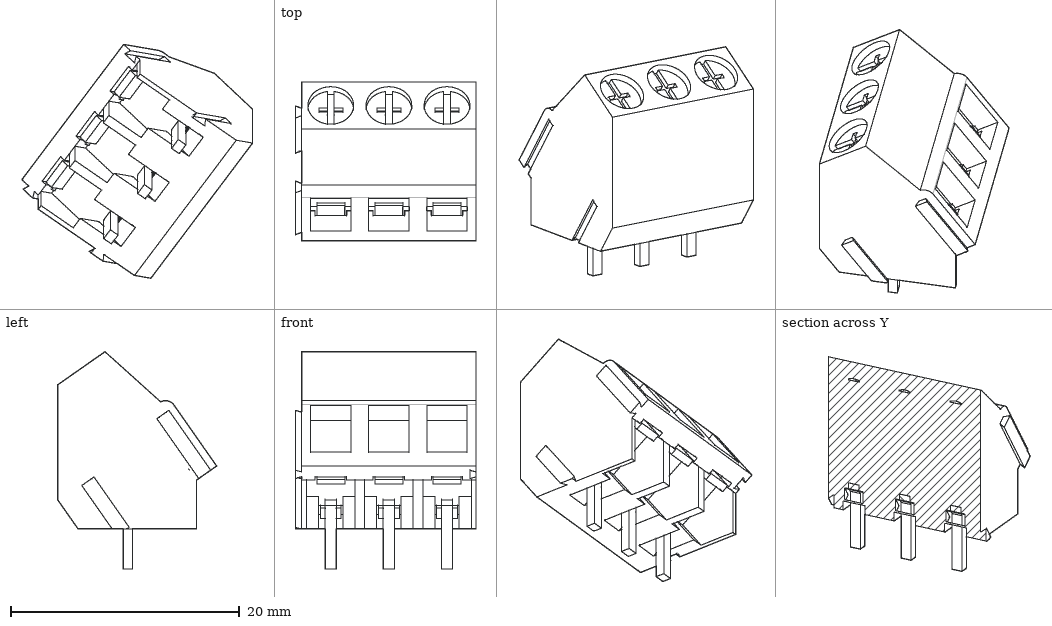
import cadquery as cq
import math


pole_count = 3
pitch = 5.08
housing_width = pole_count * pitch
pole_centres = [(i + 0.5) * pitch for i in range(pole_count)]

tilt_deg = 35.0
tilt_sin = math.sin(math.radians(tilt_deg))
tilt_cos = math.cos(math.radians(tilt_deg))


def tilted(u, w):
    """Point (y, z) at tilted coordinates (u, w)."""
    return (u * tilt_cos + w * tilt_sin, w * tilt_cos - u * tilt_sin)


def along_u(y, z):
    return y * tilt_cos - z * tilt_sin


def along_w(y, z):
    return y * tilt_sin + z * tilt_cos


def prism(x_start, x_end, points):
    """Straight body along X with a (y, z) polygon as its section."""
    return cq.Workplane("YZ", origin=(x_start, 0, 0)).polyline(points).close().extrude(x_end - x_start)


def tilted_box(x_mid, width, u_front, u_rear, w_low, w_high):
    corners = [(u_front, w_low), (u_rear, w_low), (u_rear, w_high), (u_front, w_high)]
    return prism(x_mid - width / 2, x_mid + width / 2, [tilted(u, w) for u, w in corners])


depth = 13.9
height = 15.5
foot_front_y = -12.13
apex_y = -4.13
nose_tip = (-depth, 5.5)
rear_chamfer_depth = 1.77
rear_chamfer_height = rear_chamfer_depth / math.tan(math.radians(tilt_deg))
bead_radius = 0.8
bead_end_z = 10.88
bead_start = (-9.0, 11.12)

wire_face_u = along_u(*nose_tip)
nose_under_w = along_w(*nose_tip)
screw_face_w = along_w(apex_y, height)
rear_top_z = screw_face_w / tilt_cos
foot_top_z = nose_tip[1] - (foot_front_y + depth) * math.tan(math.radians(tilt_deg))
bead_end = ((wire_face_u + bead_end_z * tilt_sin) / tilt_cos, bead_end_z)
bead_centre = (bead_end[0] + bead_radius * tilt_cos, bead_end[1] - bead_radius * tilt_sin)
bead_top = (bead_centre[0], bead_centre[1] + bead_radius)

wire_hole_width = 3.53
wire_hole_rear_u = -12.28
wire_hole_floor_w = -1.96
wire_hole_ceiling_w = 2.97

cavity_width = 4.24
cavity_front_u = along_u(foot_front_y, foot_top_z)
cavity_rear_u = -7.1
cavity_ceiling_w = -1.48
sill_notch_width = 2.75
sill_notch_depth = 0.5
channel_width = 2.13
channel_rear_u = -5.7
channel_step_w = -2.45
channel_slot_width = 1.82
channel_slot_depth = 0.62
channel_slot_ceiling_w = -1.32

rail_thickness = 0.55
rail_undercut = 0.26
rails = [(-13.9, -12.63, 2.93), (-5.2, -3.9, 1.91)]

screw_diameter = 4.0
screw_recess = 0.7
screw_length = 2.5
screw_u = (along_u(0, rear_top_z) + along_u(apex_y, height)) / 2
slot_width = 0.6
slot_depth = 0.47
cross_slot_length = 2.1
cross_slot_width = 0.4

leg_width = 1.0
leg_thickness = 0.83
leg_front_y = -6.55
leg_rear_y = leg_front_y + leg_thickness
leg_below = 3.5
leg_bend_z = 2.07
plate_width = 2.45
plate_front_u = -12.52
plate_thickness = 0.7
pin_top_w = -0.95
bar_thickness = 0.25

below = -2 * height
front_clearance = 1.0


def housing_block():
    return (
        cq.Workplane("YZ")
        .moveTo(0, rear_chamfer_height)
        .lineTo(0, rear_top_z)
        .lineTo(apex_y, height)
        .lineTo(*bead_start)
        .threePointArc(bead_top, bead_end)
        .lineTo(*nose_tip)
        .lineTo(foot_front_y, foot_top_z)
        .lineTo(foot_front_y, 0)
        .lineTo(-rear_chamfer_depth, 0)
        .close()
        .extrude(housing_width)
    )


def tilted_plane(x, u, w):
    """Plane square to the screw axis: its own axes run along X and along u."""
    y, z = tilted(u, w)
    return cq.Plane(origin=(x, y, z), xDir=(1, 0, 0), normal=(0, tilt_sin, tilt_cos))


def dovetail(x_base, front_u, rear_u, top_w):
    """Rail that widens toward -X from x_base, cut off by the nose underside or by the bottom."""
    section = [
        (x_base, front_u + rail_undercut),
        (x_base - rail_thickness, front_u),
        (x_base - rail_thickness, rear_u),
        (x_base, rear_u - rail_undercut),
    ]
    plane = tilted_plane(0, 0, nose_under_w)
    bar = cq.Workplane(plane).polyline(section).close().extrude(top_w - nose_under_w)
    under_bottom = cq.Workplane("XY").box(4 * housing_width, 4 * depth, height).translate((0, 0, -height / 2))
    return bar.cut(under_bottom)


def screw_cylinder(x, low_w, high_w):
    plane = tilted_plane(x, screw_u, low_w)
    return cq.Workplane(plane).circle(screw_diameter / 2).extrude(high_w - low_w)


def screw_hole(x):
    """Blind hole seating the screw; its upper end clears the sloping top."""
    low_w = screw_face_w - screw_recess - screw_length
    return screw_cylinder(x, low_w, screw_face_w + screw_recess)


def make_screw(x):
    top_w = screw_face_w - screw_recess
    body = screw_cylinder(x, top_w - screw_length, top_w)
    radius = screw_diameter / 2
    main_slot = tilted_box(x, slot_width, screw_u - radius, screw_u + radius, top_w - slot_depth, top_w)
    half_cross = cross_slot_width / 2
    cross_slot = tilted_box(
        x, cross_slot_length, screw_u - half_cross, screw_u + half_cross, top_w - slot_depth, top_w
    )
    return body.cut(main_slot).cut(cross_slot)


def make_pin(x):
    """Wire guard plate at the front, a bar leading rearward, and a bent solder leg."""
    plate = tilted_box(
        x, plate_width, plate_front_u, plate_front_u + plate_thickness, nose_under_w, pin_top_w
    )
    leg_front_u = along_u(leg_front_y, leg_bend_z)
    leg_rear_u = leg_front_u + leg_thickness
    rear_bend_z = (leg_rear_y * tilt_cos - leg_rear_u) / tilt_sin
    bar_low_w = pin_top_w - bar_thickness
    bar_and_leg = [
        tilted(plate_front_u, pin_top_w),
        tilted(plate_front_u, bar_low_w),
        tilted(leg_front_u, bar_low_w),
        (leg_front_y, leg_bend_z),
        (leg_front_y, -leg_below),
        (leg_rear_y, -leg_below),
        (leg_rear_y, rear_bend_z),
        tilted(leg_rear_u, pin_top_w),
    ]
    return plate.union(prism(x - leg_width / 2, x + leg_width / 2, bar_and_leg))


def pole_openings(x):
    """Wire entry and pin cavity of one pole."""
    wire_hole_start_u = wire_face_u - front_clearance
    wire_hole = tilted_box(
        x, wire_hole_width, wire_hole_start_u, wire_hole_rear_u, wire_hole_floor_w, wire_hole_ceiling_w
    )
    cavity = tilted_box(x, cavity_width, cavity_front_u, cavity_rear_u, below, cavity_ceiling_w)
    sill_notch = tilted_box(
        x, sill_notch_width, cavity_front_u - sill_notch_depth, cavity_front_u, below, wire_hole_floor_w
    )
    channel = tilted_box(x, channel_width, cavity_rear_u, channel_rear_u, below, cavity_ceiling_w)
    channel_step = tilted_box(x, channel_width, channel_rear_u, 0, below, channel_step_w)
    channel_slot_rear_u = channel_rear_u + channel_slot_depth
    channel_slot = tilted_box(
        x, channel_slot_width, channel_rear_u, channel_slot_rear_u, below, channel_slot_ceiling_w
    )
    return [wire_hole, cavity, sill_notch, channel, channel_step, channel_slot]


def make_housing(pins):
    housing = housing_block()
    for rail in rails:
        housing = housing.union(dovetail(0, *rail))
        housing = housing.cut(dovetail(housing_width, *rail))
    for x, pin in zip(pole_centres, pins):
        for opening in pole_openings(x):
            housing = housing.cut(opening)
        housing = housing.cut(screw_hole(x)).cut(pin)
    return housing


screws = [make_screw(x) for x in pole_centres]
pins = [make_pin(x) for x in pole_centres]
housing = make_housing(pins)

result = cq.Compound.makeCompound(
    [housing.val(), *[screw.val() for screw in screws], *[pin.val() for pin in pins]]
)